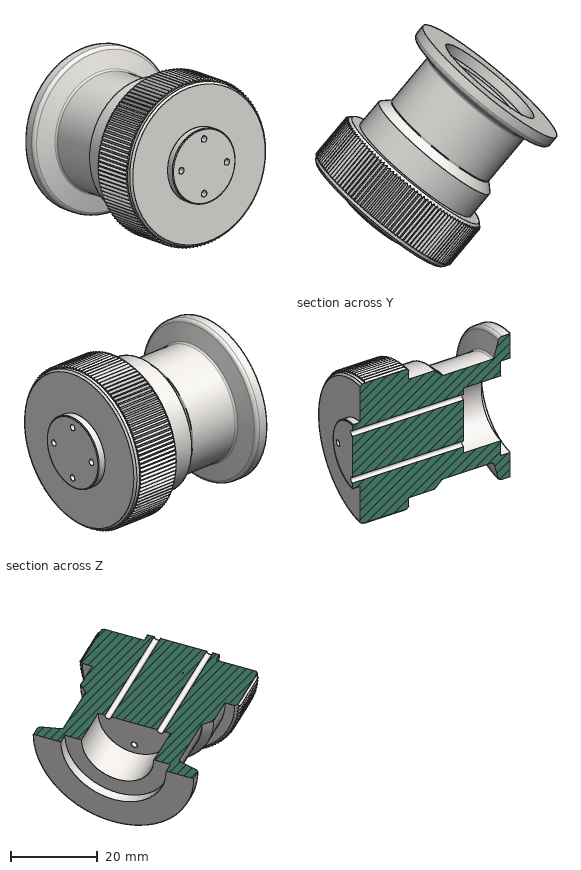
import cadquery as cq
import math

TOTAL_LENGTH = 42.0

FLANGE_RADIUS = 20.0
FLANGE_RIM_LENGTH = 3.02
FLANGE_TAPER_ANGLE = 15.0
FLANGE_EDGE_ROUND = 1.0
NECK_ROUND = 0.5

NECK_RADIUS = 14.5
COLLAR_RADIUS = 16.6
COLLAR_START = 20.1
SHOULDER_START = COLLAR_START - (COLLAR_RADIUS - NECK_RADIUS)
SHOULDER_ROUND = 0.25

RING_RADIUS = FLANGE_RADIUS
RING_START = 26.95
RING_END = 38.65
RING_CHAMFER = 1.0
TOOTH_COUNT = 120
TOOTH_DEPTH = 0.5

CAP_RADIUS = 19.45
CAP_END = 40.0
CAP_CHAMFER = 0.5
BOSS_RADIUS = 9.0
BOSS_CHAMFER = 0.2

COUNTERBORE_RADIUS = 13.1
COUNTERBORE_DEPTH = 2.48
BORE_RADIUS = 9.0
BORE_DEPTH = 12.45
PIN_HOLE_COUNT = 4
PIN_HOLE_DIAMETER = 1.5
PIN_CIRCLE_RADIUS = 6.5


def cylinder(radius, start, end):
    """Solid cylinder on the X axis between two X positions."""
    return cq.Workplane("YZ").workplane(offset=start).circle(radius).extrude(end - start)


def round_circle(body, x_position, radius):
    """Round the circular edge whose centre lies at the given X position on the axis."""
    return body.edges(cq.selectors.NearestToPointSelector((x_position, 0, 0))).fillet(radius)


def flange_neck_and_collar():
    """Revolved flange, neck and collar with rounded corners."""
    taper_height = FLANGE_RADIUS - NECK_RADIUS
    neck_start = FLANGE_RIM_LENGTH + taper_height * math.tan(math.radians(FLANGE_TAPER_ANGLE))
    body = (
        cq.Workplane("XY")
        .lineTo(0, FLANGE_RADIUS)
        .lineTo(FLANGE_RIM_LENGTH, FLANGE_RADIUS)
        .lineTo(neck_start, NECK_RADIUS)
        .lineTo(SHOULDER_START, NECK_RADIUS)
        .lineTo(COLLAR_START, COLLAR_RADIUS)
        .lineTo(RING_START, COLLAR_RADIUS)
        .lineTo(RING_START, 0)
        .close()
        .revolve(360, (0, 0, 0), (1, 0, 0))
    )
    body = round_circle(body, FLANGE_RIM_LENGTH, FLANGE_EDGE_ROUND)
    body = round_circle(body, neck_start, NECK_ROUND)
    return round_circle(body, SHOULDER_START, SHOULDER_ROUND)


def knurled_ring():
    """Ring with sharp straight teeth, chamfered towards the flange."""
    points = []
    for step in range(2 * TOOTH_COUNT):
        angle = math.pi * step / TOOTH_COUNT
        radius = RING_RADIUS if step % 2 else RING_RADIUS - TOOTH_DEPTH
        points.append((radius * math.cos(angle), radius * math.sin(angle)))
    tooth_outline = cq.Workplane("YZ").workplane(offset=RING_START).polyline(points).close()
    toothed_ring = tooth_outline.extrude(RING_END - RING_START)
    envelope = cylinder(RING_RADIUS, RING_START, RING_END).faces("<X").chamfer(RING_CHAMFER)
    return toothed_ring.intersect(envelope)


def end_cap():
    """Chamfered cap with a short boss."""
    cap = cylinder(CAP_RADIUS, RING_END, CAP_END).faces(">X").chamfer(CAP_CHAMFER)
    boss = cylinder(BOSS_RADIUS, CAP_END, TOTAL_LENGTH).faces(">X").chamfer(BOSS_CHAMFER)
    return cap.union(boss)


def bore_and_pin_holes():
    """Volume removed for the stepped bore and the holes through its floor."""
    bore = cylinder(COUNTERBORE_RADIUS, 0, COUNTERBORE_DEPTH).union(cylinder(BORE_RADIUS, 0, BORE_DEPTH))
    holes = (
        cq.Workplane("YZ")
        .polarArray(PIN_CIRCLE_RADIUS, 0, 360, PIN_HOLE_COUNT)
        .circle(PIN_HOLE_DIAMETER / 2)
        .extrude(TOTAL_LENGTH)
    )
    return bore.union(holes)


outer_body = flange_neck_and_collar().union(knurled_ring()).union(end_cap())
result = outer_body.cut(bore_and_pin_holes())